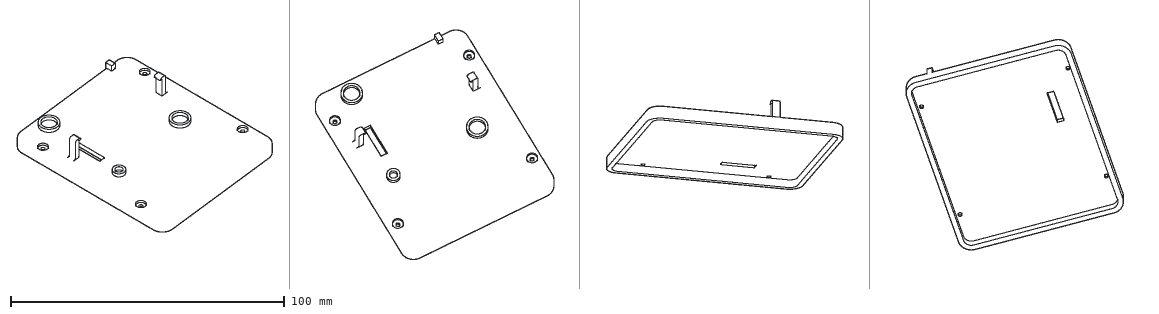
import cadquery as cq
import math

length = 74.5
width = 63.0
plate_height = 5.0
corner_radius = 5.0
rim_radius = 1.0
wall = 2.0
floor_thickness = 2.0
floor_bottom = plate_height - floor_thickness
overall_height = 14.0

screw_x_positions = (-24.95, 23.1)
screw_y = 28.0
screw_diameter = 1.5
counterbore_diameter = 4.0
counterbore_depth = 1.0

ring_height = 1.5
rings = (
    (2.9, 16.2, 8.0, 6.0),
    (-31.3, -17.6, 8.0, 6.0),
    (5.4, -20.2, 5.0, 3.0),
)

slot_x, slot_y = -10.6, -18.85
slot_length = 13.0
slot_width = 2.6

hook_x = -12.75
hook_pair_y = -0.7
hook_outer_spacing = 49.7
hook_width = 3.0
hook_thickness = 2.0
lip_length = 1.0
hook_radius = 1.0

tab_length = 3.0
tab_width = 2.0
tab_height = 2.5
tab_y = 21.2


def make_tray():
    outer = (
        cq.Workplane("XY")
        .box(length, width, plate_height, centered=(True, True, False))
        .edges("|Z").fillet(corner_radius)
        .faces(">Z").edges().fillet(rim_radius)
    )
    cavity = (
        cq.Workplane("XY")
        .box(length - 2 * wall, width - 2 * wall, floor_bottom, centered=(True, True, False))
        .edges("|Z").fillet(corner_radius - wall)
    )
    return outer.cut(cavity)


def make_ring(x, y, outer_diameter, inner_diameter):
    return (
        cq.Workplane("XY", origin=(x, y, plate_height))
        .circle(outer_diameter / 2)
        .circle(inner_diameter / 2)
        .extrude(ring_height)
    )


def make_hook(side):
    """Hook on the +Y (side = 1) or -Y (side = -1) end, with its lip pointing to the other hook."""
    outer_y = hook_pair_y + side * hook_outer_spacing / 2
    inner_y = outer_y - side * hook_thickness
    tip_y = inner_y - side * lip_length
    foot_y = outer_y + side * hook_radius
    lip_bottom = overall_height - hook_radius
    arc_inset = hook_radius * (1 - math.sqrt(0.5))
    foot_mid = (outer_y + side * arc_inset, plate_height + arc_inset)
    back_mid = (outer_y - side * arc_inset, overall_height - arc_inset)
    lip_mid = (tip_y + side * arc_inset, overall_height - arc_inset)
    return (
        cq.Workplane("YZ", origin=(hook_x, 0, 0))
        .moveTo(foot_y, plate_height)
        .threePointArc(foot_mid, (outer_y, plate_height + hook_radius))
        .lineTo(outer_y, lip_bottom)
        .threePointArc(back_mid, (outer_y - side * hook_radius, overall_height))
        .lineTo(tip_y + side * hook_radius, overall_height)
        .threePointArc(lip_mid, (tip_y, lip_bottom))
        .lineTo(inner_y, lip_bottom)
        .lineTo(inner_y, floor_bottom)
        .lineTo(foot_y, floor_bottom)
        .close()
        .extrude(hook_width / 2, both=True)
    )


def make_tab():
    height = tab_height + rim_radius
    return (
        cq.Workplane("XY", origin=(-length / 2, tab_y, plate_height - rim_radius))
        .box(tab_length, tab_width, height, centered=(False, True, False))
    )


def make_screw_holes():
    points = [(x, y) for x in screw_x_positions for y in (-screw_y, screw_y)]
    holes = cq.Workplane("XY").pushPoints(points).circle(screw_diameter / 2).extrude(plate_height)
    counterbores = (
        cq.Workplane("XY", origin=(0, 0, plate_height))
        .pushPoints(points)
        .circle(counterbore_diameter / 2)
        .extrude(-counterbore_depth)
    )
    return holes.union(counterbores)


def make_slot():
    return (
        cq.Workplane("XY", origin=(slot_x, slot_y, 0))
        .box(slot_length, slot_width, plate_height, centered=(True, True, False))
    )


result = make_tray()
for ring in rings:
    result = result.union(make_ring(*ring))
for side in (-1, 1):
    result = result.union(make_hook(side))
result = result.union(make_tab())
result = result.cut(make_screw_holes()).cut(make_slot())